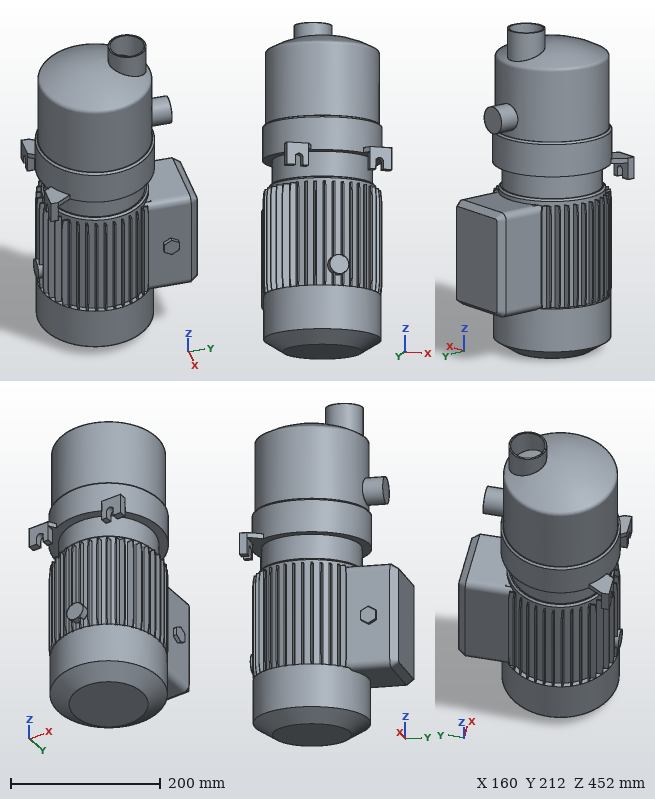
import cadquery as cq
import math

total_height = 452.0

cone_top = 16.3
cover_top = 76.0
fin_top = 218.0
flange_top = 226.0
collar_bottom = 260.0
collar_top = 307.5
dome_rim = 407.5
dome_apex = 429.0

base_radius = 53.0
cover_radius = 78.5
motor_radius = 72.0
neck_radius = 67.5
collar_radius = 80.0
tank_radius = 76.5
step_chamfer = 2.5
dome_fillet = 5.5

fin_groups = 4
fins_per_group = 10
fin_pitch_angle = 360 / (fin_groups * fins_per_group)
fin_tip_radius = 79.5
fin_thickness = 2.0
fin_taper_height = 13.5
fin_taper_depth = 1.5

outlet_radius = 25.5
outlet_wall = 2.3
outlet_offset = 44.7
inlet_radius = 18.5
inlet_height = 334.0
inlet_reach = 102.0

box_width = 100.5
box_bottom = 72.8
box_top = fin_top
box_back = 130.0
box_corner_radius = 10.0
box_chamfer_side = 7.2
box_chamfer_depth = 10.5
gland_width = 21.0
gland_length = 5.5
gland_y = 91.5

front_reach = 82.0
foot_outer = 73.0
foot_inner = 43.0
foot_top = 266.5
foot_bottom = 237.0
foot_thickness = 10.5
arm_shift_x = 13.5
arm_shift_y = 21.5
slot_width = 10.5
slot_x = 56.0
slot_top = 252.0
plug_radius = 13.0
plug_height = 104.5


def make_body():
    """Turned body, from the conical base up to the domed tank."""
    dome_radius = (tank_radius**2 + (dome_apex - dome_rim)**2) / (2 * (dome_apex - dome_rim))
    dome_centre = dome_apex - dome_radius
    middle_radius = tank_radius / 2
    dome_middle = dome_centre + math.sqrt(dome_radius**2 - middle_radius**2)
    profile = (
        cq.Workplane("XZ")
        .lineTo(base_radius, 0)
        .lineTo(cover_radius, cone_top)
        .lineTo(cover_radius, cover_top)
        .lineTo(motor_radius, cover_top)
        .lineTo(motor_radius, flange_top - step_chamfer)
        .lineTo(motor_radius - step_chamfer, flange_top)
        .lineTo(neck_radius, flange_top)
        .lineTo(neck_radius, collar_bottom)
        .lineTo(collar_radius, collar_bottom)
        .lineTo(collar_radius, collar_top - step_chamfer)
        .lineTo(collar_radius - step_chamfer, collar_top)
        .lineTo(tank_radius, collar_top)
        .lineTo(tank_radius, dome_rim)
        .threePointArc((middle_radius, dome_middle), (0, dome_apex))
        .close()
    )
    body = profile.revolve(360, (0, 0, 0), (0, 1, 0))
    margin = dome_fillet / 10
    rim = cq.selectors.BoxSelector(
        (-collar_radius, -collar_radius, dome_rim - margin),
        (collar_radius, collar_radius, dome_rim + margin),
        boundingbox=True,
    )
    return body.edges(rim).fillet(dome_fillet)


def make_fin(offset):
    """Upright plate pointing along +X at a sideways offset, its tip eased at both ends."""
    outer_side = abs(offset) + fin_thickness / 2
    tip = math.sqrt(fin_tip_radius**2 - outer_side**2)
    root = math.sqrt(motor_radius**2 - outer_side**2) - fin_thickness
    return (
        cq.Workplane("XZ", origin=(0, offset, 0))
        .moveTo(root, cover_top)
        .lineTo(tip - fin_taper_depth, cover_top)
        .lineTo(tip, cover_top + fin_taper_height)
        .lineTo(tip, fin_top - fin_taper_height)
        .lineTo(tip - fin_taper_depth, fin_top)
        .lineTo(root, fin_top)
        .close()
        .extrude(fin_thickness / 2, both=True)
    )


def make_fins():
    """Groups of parallel plates facing +X, +Y, -X and -Y."""
    fins = cq.Workplane("XY")
    for index in range(fins_per_group):
        fin_angle = (index - (fins_per_group - 1) / 2) * fin_pitch_angle
        fin = make_fin(cover_radius * math.sin(math.radians(fin_angle)))
        for group in range(fin_groups):
            fins = fins.add(fin.rotate((0, 0, 0), (0, 0, 1), group * 360 / fin_groups))
    return fins.combine()


def make_terminal_box():
    """Box with rounded long edges and a bevelled back, plus the hexagonal cable gland."""
    box_height = box_top - box_bottom
    box_middle = (box_top + box_bottom) / 2
    box = (
        cq.Workplane("XY")
        .box(box_width, box_back, box_height, centered=(True, False, True))
        .edges("|Y").fillet(box_corner_radius)
    )
    box = box.faces(">Y").chamfer(box_chamfer_side, box_chamfer_depth)
    box = box.translate((0, 0, box_middle))
    gland = (
        cq.Workplane("YZ", origin=(box_width / 2, gland_y, box_middle))
        .polygon(6, gland_width, circumscribed=True)
        .extrude(gland_length)
    )
    return box.union(gland)


def make_outlet():
    """Open pipe standing on the dome."""
    return (
        cq.Workplane("XY", origin=(0, outlet_offset, collar_top))
        .circle(outlet_radius)
        .circle(outlet_radius - outlet_wall)
        .extrude(total_height - collar_top)
    )


def make_inlet():
    """Pipe stub at the back of the tank."""
    return cq.Workplane("XZ", origin=(0, 0, inlet_height)).circle(inlet_radius).extrude(-inlet_reach)


def make_plug():
    """Round plug at the front of the motor."""
    return cq.Workplane("XZ", origin=(0, 0, plug_height)).circle(plug_radius).extrude(front_reach)


def make_foot():
    """Foot on the +X side: an arm flush with the collar bottom and a slotted front plate."""
    foot_shoulder = front_reach - foot_thickness
    arm = (
        cq.Workplane("XY", origin=(0, 0, collar_bottom))
        .moveTo(foot_inner, -front_reach)
        .lineTo(foot_outer, -front_reach)
        .lineTo(foot_outer, -foot_shoulder)
        .line(-arm_shift_x, arm_shift_y)
        .lineTo(foot_inner - arm_shift_x, arm_shift_y - front_reach)
        .close()
        .extrude(foot_top - collar_bottom)
    )
    plate = cq.Workplane("XY").box(
        foot_outer - foot_inner, foot_thickness, foot_top - foot_bottom, centered=False
    ).translate((foot_inner, -front_reach, foot_bottom))
    slot_centre = slot_top - slot_width / 2
    slot = (
        cq.Workplane("XZ", origin=(slot_x, 0, foot_bottom))
        .moveTo(-slot_width / 2, 0)
        .lineTo(slot_width / 2, 0)
        .lineTo(slot_width / 2, slot_centre - foot_bottom)
        .threePointArc((0, slot_top - foot_bottom), (-slot_width / 2, slot_centre - foot_bottom))
        .close()
        .extrude(front_reach)
    )
    return arm.union(plate).cut(slot)


foot = make_foot()
result = (
    make_body()
    .union(make_fins())
    .union(make_terminal_box())
    .union(make_outlet())
    .union(make_inlet())
    .union(make_plug())
    .union(foot)
    .union(foot.mirror("YZ"))
)